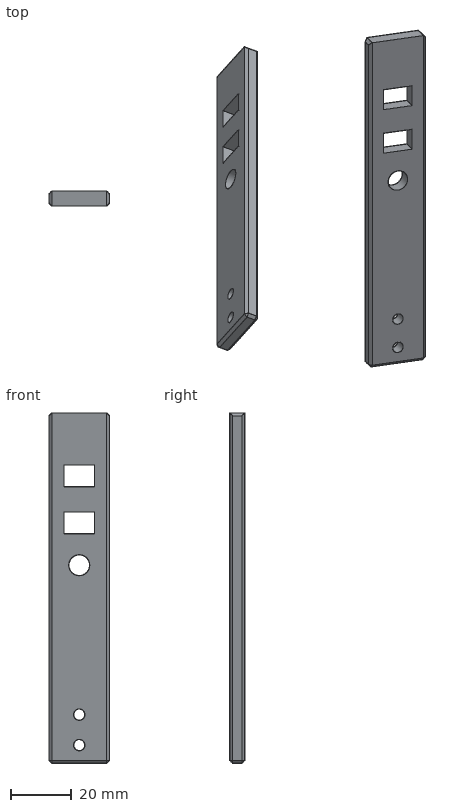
import cadquery as cq

width = 20.0
thickness = 5.0
height = 115.0
edge_chamfer = 1.0

window_width = 10.0
window_height = 7.0
upper_window_z = 94.3
window_pitch = 15.4
window_count = 2

large_hole_diameter = 6.75
large_hole_z = 65.0
small_hole_diameter = 3.6
small_hole_heights = (6.0, 16.0)


def chamfered_plate():
    """Plate with every edge chamfered except the front and back edges of the top end."""
    plate = cq.Workplane("XY").box(width, thickness, height, centered=(True, True, False))
    side_edges = plate.edges("|Z")
    bottom_edges = plate.faces("<Z").edges()
    top_side_edges = plate.faces(">Z").edges("|Y")
    chamfered_edges = side_edges.add(bottom_edges).add(top_side_edges)
    return chamfered_edges.chamfer(edge_chamfer)


def window(center_z):
    """Cutter for one rectangular window centred on the plate width."""
    return cq.Workplane("XY").box(window_width, thickness, window_height).translate((0, 0, center_z))


def round_hole(diameter, center_z):
    """Cutter for one round hole along Y, centred on the plate width."""
    return (
        cq.Workplane("XZ")
        .center(0, center_z)
        .circle(diameter / 2)
        .extrude(thickness / 2, both=True)
    )


result = chamfered_plate()

for index in range(window_count):
    result = result.cut(window(upper_window_z - index * window_pitch))

result = result.cut(round_hole(large_hole_diameter, large_hole_z))

for hole_z in small_hole_heights:
    result = result.cut(round_hole(small_hole_diameter, hole_z))